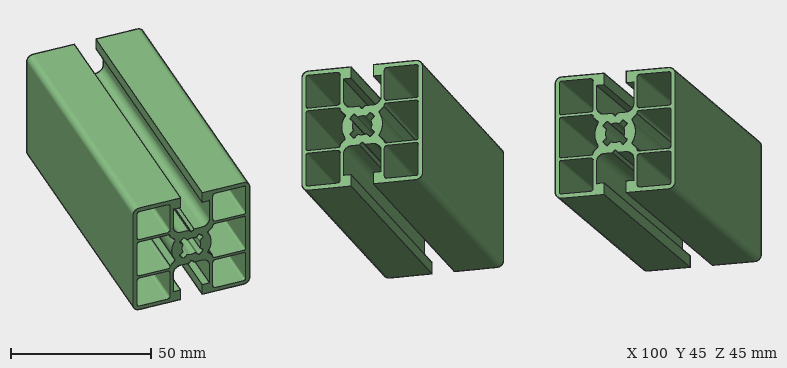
import cadquery as cq
import math

length = 100.0
side = 45.0
half_side = side / 2
outer_radius = 2.5
outer_wall = 1.6

slot_opening = 8.3
slot_width = 14.0
lip_depth = 4.3
floor_height = 7.3
floor_radius = 3.0
slot_wall = 1.2
groove_width = 2.0
groove_depth = 1.0

web_outer = 8.5
web_thickness = 1.0
chamber_radius = 0.8
slot_side_radius = 1.2
chamber_inner = slot_width / 2 + slot_wall
chamber_outer = half_side - outer_wall
web_inner = web_outer - web_thickness

boss_radius = 7.6
arm_offset = 1.8
notch_radius = 0.5
arm_width = arm_offset * math.sqrt(2)

channel_radius = 3.6
relief_radius = 5.4
relief_width = 2.3
channel_edge_radius = 0.2

diagonal_angle = 45.0


def prism(outline):
    """Extrude a closed YZ outline over the whole length."""
    return outline.extrude(length / 2, both=True)


def box(y_min, y_max, z_min, z_max):
    """Full-length bar between the given Y and Z limits."""
    centre = ((y_min + y_max) / 2, (z_min + z_max) / 2)
    return prism(cq.Workplane("YZ").center(*centre).rect(y_max - y_min, z_max - z_min))


def cylinder(radius):
    """Full-length cylinder on the X axis."""
    return prism(cq.Workplane("YZ").circle(radius))


def diagonal_cross(width):
    """Two crossing full-length bars lying along the profile diagonals."""
    bar = box(-side, side, -width / 2, width / 2)
    rising = bar.rotate((0, 0, 0), (1, 0, 0), diagonal_angle)
    return rising.union(rising.mirror("XZ"))


def make_core():
    """Boss and diagonal arms that remain between the middle chambers."""
    arms = diagonal_cross(arm_width)
    return cylinder(boss_radius).union(arms)


def make_slot():
    """Upper T-slot with rounded floor corners and a centring groove."""
    lip_bottom = half_side - lip_depth
    opening = box(-slot_opening / 2, slot_opening / 2, lip_bottom, half_side)
    cavity = box(-slot_width / 2, slot_width / 2, floor_height, lip_bottom)
    cavity = cavity.edges("|X and <Z").fillet(floor_radius)
    groove = prism(
        cq.Workplane("YZ")
        .moveTo(-groove_width / 2, floor_height)
        .lineTo(0, floor_height - groove_depth)
        .lineTo(groove_width / 2, floor_height)
        .close()
    )
    return cavity.union(opening).union(groove)


def make_corner_chamber():
    """Rounded chamber in the +Y, +Z corner."""
    chamber = box(chamber_inner, chamber_outer, web_outer, chamber_outer)
    chamber = chamber.edges("|X and >Y").fillet(chamber_radius)
    return chamber.edges("|X and <Y").fillet(slot_side_radius)


def make_middle_chamber():
    """Chamber on the +Y side, reaching inwards to the boss between the arms."""
    chamber = box(chamber_inner, chamber_outer, -web_inner, web_inner)
    chamber = chamber.edges("|X").fillet(chamber_radius)
    inner_start = boss_radius * math.cos(math.radians(diagonal_angle))
    inner_half_height = web_inner - chamber_radius
    inner = box(inner_start, chamber_inner + chamber_radius, -inner_half_height, inner_half_height)
    chamber = chamber.union(inner.cut(make_core()))
    low_corner = (-length, 0, -web_inner)
    high_corner = (length, chamber_inner - notch_radius, web_inner)
    notch_zone = cq.selectors.BoxSelector(low_corner, high_corner)
    return chamber.edges("|X").edges(notch_zone).fillet(notch_radius)


def make_channel():
    """Central screw channel widened by the diagonal reliefs."""
    reliefs = cylinder(relief_radius).intersect(diagonal_cross(relief_width))
    channel = cylinder(channel_radius).union(reliefs)
    return channel.edges("|X").fillet(channel_edge_radius)


body = box(-half_side, half_side, -half_side, half_side).edges("|X").fillet(outer_radius)

slot = make_slot()
corner_chamber = make_corner_chamber()
middle_chamber = make_middle_chamber()

body = body.cut(slot).cut(slot.mirror("XY"))
body = body.cut(middle_chamber).cut(middle_chamber.mirror("XZ"))
for chamber in (corner_chamber, corner_chamber.mirror("XZ")):
    body = body.cut(chamber).cut(chamber.mirror("XY"))

result = body.cut(make_channel())